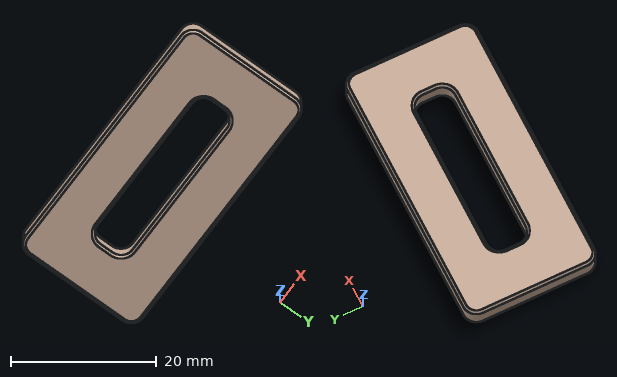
import cadquery as cq

length = 40.0
width = 20.0
thickness = 3.6
corner_radius = 2.0

window_length = 25.8
window_width = 6.0
window_corner_radius = 2.0

chamfer = 0.4


def rounded_block(size_x, size_y, radius):
    """Full-thickness block with rounded vertical corners, resting on Z = 0."""
    block = cq.Workplane("XY").box(size_x, size_y, thickness, centered=(True, True, False))
    return block.edges("|Z").fillet(radius)


plate = rounded_block(length, width, corner_radius)
window = rounded_block(window_length, window_width, window_corner_radius)

result = plate.cut(window).faces("<Z or >Z").chamfer(chamfer)